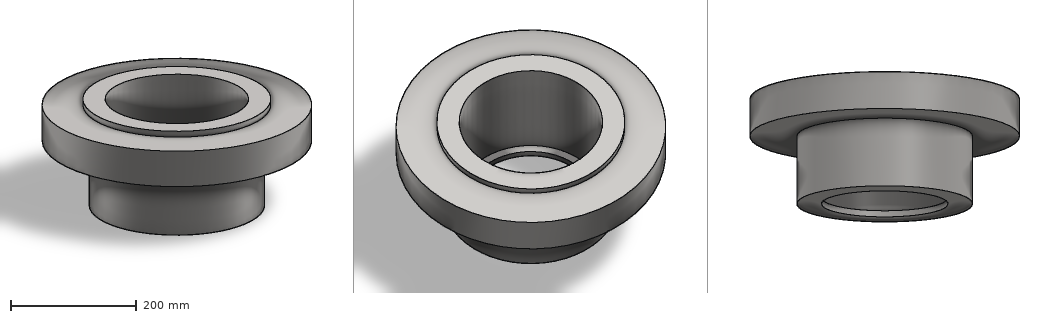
import cadquery as cq

flange_diameter = 430.0
flange_thickness = 60.0
face_diameter = 299.5
face_height = 10.0
hub_diameter = 280.0
hub_length = 110.0
bore_diameter = 228.5
lip_diameter = 201.2
lip_thickness = 10.0

flange_top = hub_length + flange_thickness
total_height = flange_top + face_height


def cylinder(diameter, bottom, top):
    """Solid cylinder on the Z axis between two levels."""
    return cq.Workplane("XY").workplane(offset=bottom).circle(diameter / 2).extrude(top - bottom)


hub = cylinder(hub_diameter, 0, hub_length)
flange = cylinder(flange_diameter, hub_length, flange_top)
raised_face = cylinder(face_diameter, flange_top, total_height)
body = hub.union(flange).union(raised_face)

bore = cylinder(bore_diameter, lip_thickness, total_height)
lip_opening = cylinder(lip_diameter, 0, lip_thickness)

result = body.cut(bore).cut(lip_opening)